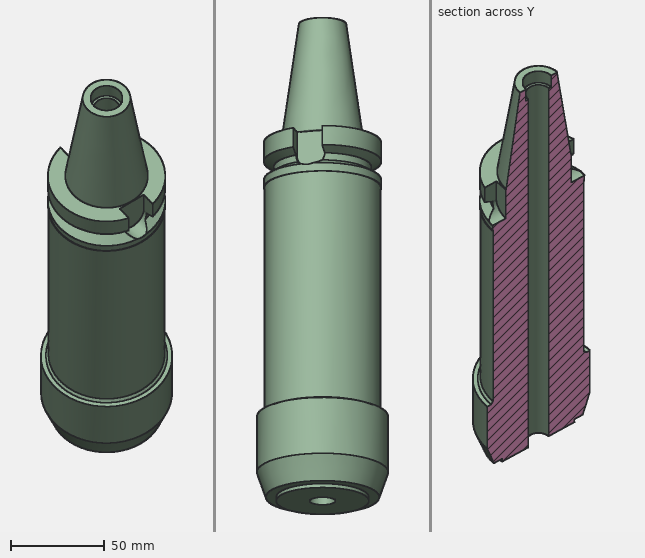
import cadquery as cq

total_height = 267.5
nose_lip_height = 2.1
nose_cone_top = 16.0
nut_top = 47.3
body_bottom = 49.0
collar_bottom = 175.7
collar_top = 180.2
groove_bottom = 183.5
groove_top = 187.5
flange_bottom = 190.5
flange_top = 201.0
taper_bottom = 202.0

nose_lip_radius = 25.0
nose_cone_radius = 30.5
nut_radius = 35.3
nut_shoulder_radius = 32.5
body_radius = 31.3
flange_radius = 31.5
groove_radius = 26.2
taper_large_radius = 22.2
taper_small_radius = 12.8

bore_radius = 7.0
mouth_radius = 8.5
mouth_depth = 8.5

slot_width = 16.0
slot_bottom = 179.7
slot_floor_distance = 22.5


def turned_body():
    """Revolve the stepped half profile around Z."""
    profile = [
        (0, 0),
        (nose_lip_radius, 0),
        (nose_lip_radius, nose_lip_height),
        (nose_cone_radius, nose_lip_height),
        (nut_radius, nose_cone_top),
        (nut_radius, nut_top),
        (nut_shoulder_radius, nut_top),
        (body_radius, body_bottom),
        (body_radius, collar_bottom),
        (flange_radius, collar_bottom),
        (flange_radius, collar_top),
        (groove_radius, groove_bottom),
        (groove_radius, groove_top),
        (flange_radius, flange_bottom),
        (flange_radius, flange_top),
        (taper_large_radius, flange_top),
        (taper_large_radius, taper_bottom),
        (taper_small_radius, total_height),
        (0, total_height),
    ]
    return cq.Workplane("XZ").polyline(profile).close().revolve(360, (0, 0), (0, 1))


def stepped_bore():
    """Through bore joined with its wider mouth."""
    bore = cq.Workplane("XY").circle(bore_radius).extrude(total_height)
    mouth = (
        cq.Workplane("XY")
        .workplane(offset=total_height - mouth_depth)
        .circle(mouth_radius)
        .extrude(mouth_depth)
    )
    return bore.union(mouth)


def drive_slot(side):
    """Open-topped slot with a round lower end, on the +X (1) or -X (-1) side."""
    half_width = slot_width / 2
    round_center = slot_bottom + half_width
    return (
        cq.Workplane("YZ")
        .workplane(offset=side * slot_floor_distance)
        .moveTo(-half_width, flange_top)
        .lineTo(-half_width, round_center)
        .threePointArc((0, slot_bottom), (half_width, round_center))
        .lineTo(half_width, flange_top)
        .close()
        .extrude(side * (nut_radius - slot_floor_distance))
    )


result = turned_body().cut(stepped_bore())
for side in (-1, 1):
    result = result.cut(drive_slot(side))